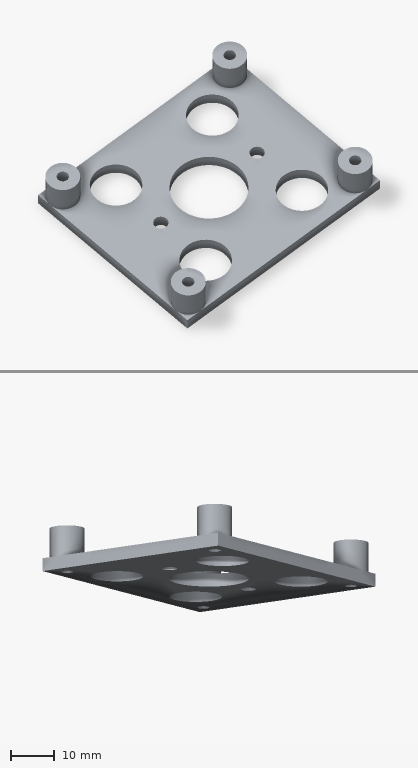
import cadquery as cq
import math

plate_width = 50.0
plate_length = 60.0
plate_thickness = 3.0
total_height = 10.0

standoff_diameter = 8.0
standoff_bore = 2.8

center_hole_diameter = 18.0
large_hole_diameter = 12.0
small_hole_diameter = 3.5
hole_offset = 15.0

half_width = plate_width / 2
half_length = plate_length / 2
standoff_radius = standoff_diameter / 2
standoff_x = half_width - standoff_radius
standoff_y = half_length - standoff_radius
diagonal_reach = standoff_radius * math.sqrt(0.5)

corners = [(1, 1), (-1, 1), (-1, -1), (1, -1)]


def make_plate():
    """Plate whose corners wrap three quarters of the way round the standoffs."""
    outline = cq.Workplane("XY").moveTo(half_width, standoff_y)
    for sign_x, sign_y in corners:
        side_point = (sign_x * half_width, sign_y * standoff_y)
        end_point = (sign_x * standoff_x, sign_y * half_length)
        inner_point = (
            sign_x * (standoff_x - diagonal_reach),
            sign_y * (standoff_y - diagonal_reach),
        )
        if sign_x == sign_y:
            arc_start, arc_end = side_point, end_point
        else:
            arc_start, arc_end = end_point, side_point
        if (sign_x, sign_y) != corners[0]:
            outline = outline.lineTo(*arc_start)
        outline = outline.threePointArc(inner_point, arc_end)
    plate = outline.close().extrude(plate_thickness)

    large_hole_points = [(sx * hole_offset, sy * hole_offset) for sx, sy in corners]
    small_hole_points = [(0, hole_offset), (0, -hole_offset)]
    plate = cut_holes(plate, [(0, 0)], center_hole_diameter)
    plate = cut_holes(plate, large_hole_points, large_hole_diameter)
    return cut_holes(plate, small_hole_points, small_hole_diameter)


def cut_holes(plate, points, diameter):
    """Cut round through holes in the plate."""
    holes = cq.Workplane("XY").pushPoints(points).circle(diameter / 2).extrude(plate_thickness)
    return plate.cut(holes)


def make_standoff(sign_x, sign_y):
    """Bored standoff that passes through the plate and rises above it."""
    return (
        cq.Workplane("XY")
        .center(sign_x * standoff_x, sign_y * standoff_y)
        .circle(standoff_radius)
        .circle(standoff_bore / 2)
        .extrude(total_height)
    )


def make_corner_piece(sign_x, sign_y):
    """Small corner of the plate, cut off from it by the standoff."""
    outer_point = (
        sign_x * (standoff_x + diagonal_reach),
        sign_y * (standoff_y + diagonal_reach),
    )
    return (
        cq.Workplane("XY")
        .moveTo(sign_x * half_width, sign_y * standoff_y)
        .lineTo(sign_x * half_width, sign_y * half_length)
        .lineTo(sign_x * standoff_x, sign_y * half_length)
        .threePointArc(outer_point, (sign_x * half_width, sign_y * standoff_y))
        .close()
        .extrude(plate_thickness)
    )


plate = make_plate()
standoffs = [make_standoff(sx, sy) for sx, sy in corners]
corner_pieces = [make_corner_piece(sx, sy) for sx, sy in corners]

result = cq.Compound.makeCompound([
    plate.val(),
    *[standoff.val() for standoff in standoffs],
    *[piece.val() for piece in corner_pieces],
])